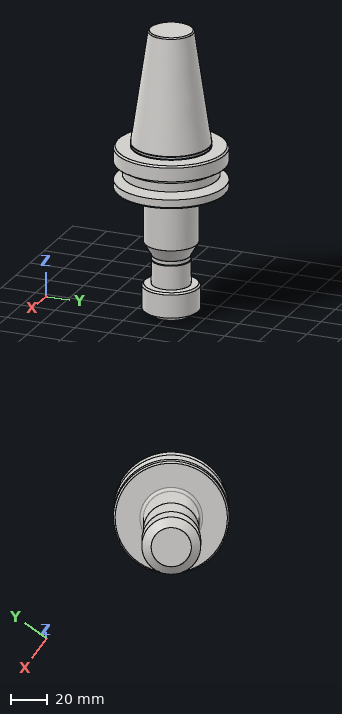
import cadquery as cq
import math

total_height = 165.4

gauge_radius = 22.2
gauge_z = 100.0
taper_per_length = 7 / 24
tip_radius = gauge_radius - (total_height - gauge_z) * taper_per_length / 2
tip_chamfer = 0.7

relief_depth = 0.2
relief_bevel = 0.5

flange_radius = 31.51
flange_top_z = 97.9
flange_bottom_z = 73.0
flange_chamfer = 1.0
groove_floor_radius = 26.6
groove_center_z = 83.7
groove_floor_width = 5.0
groove_wall_height = (flange_radius - groove_floor_radius) * math.tan(math.radians(30))

body_radius = 15.2
body_bottom_z = 42.3
body_fillet = 1.8
neck_radius = 10.9
shoulder_bottom_z = body_bottom_z - (body_radius - neck_radius) / math.tan(math.radians(30))
neck_groove_depth = 0.2
neck_groove_bevel = 0.5
neck_groove_bottom_z = 31.8

nut_radius = 16.0
nut_top_z = 17.9
nut_top_chamfer = 1.0
nut_face_radius = 10.9
nut_cone_height = 3.5


def add_recess(profile, radius, bottom_z, top_z, depth, bevel):
    """Continue the profile upward through a shallow ring with bevelled ends."""
    return (
        profile.lineTo(radius, bottom_z)
        .lineTo(radius - depth, bottom_z + bevel)
        .lineTo(radius - depth, top_z - bevel)
        .lineTo(radius, top_z)
    )


profile = (
    cq.Workplane("XZ")
    .lineTo(nut_face_radius, 0)
    .lineTo(nut_radius, nut_cone_height)
    .lineTo(nut_radius, nut_top_z - nut_top_chamfer)
    .lineTo(nut_radius - nut_top_chamfer, nut_top_z)
    .lineTo(neck_radius, nut_top_z)
)
profile = add_recess(
    profile, neck_radius, neck_groove_bottom_z, shoulder_bottom_z, neck_groove_depth, neck_groove_bevel
)

profile = (
    profile.lineTo(body_radius, body_bottom_z)
    .lineTo(body_radius, flange_bottom_z - body_fillet)
    .radiusArc((body_radius + body_fillet, flange_bottom_z), body_fillet)
)

groove_floor_bottom_z = groove_center_z - groove_floor_width / 2
groove_floor_top_z = groove_center_z + groove_floor_width / 2
profile = (
    profile.lineTo(flange_radius - flange_chamfer, flange_bottom_z)
    .lineTo(flange_radius, flange_bottom_z + flange_chamfer)
    .lineTo(flange_radius, groove_floor_bottom_z - groove_wall_height)
    .lineTo(groove_floor_radius, groove_floor_bottom_z)
    .lineTo(groove_floor_radius, groove_floor_top_z)
    .lineTo(flange_radius, groove_floor_top_z + groove_wall_height)
    .lineTo(flange_radius, flange_top_z - flange_chamfer)
    .lineTo(flange_radius - flange_chamfer, flange_top_z)
)

profile = add_recess(profile, gauge_radius, flange_top_z, gauge_z, relief_depth, relief_bevel)
profile = (
    profile.lineTo(tip_radius + tip_chamfer * taper_per_length / 2, total_height - tip_chamfer)
    .lineTo(tip_radius - tip_chamfer, total_height)
    .lineTo(0, total_height)
    .close()
)

result = profile.revolve(360, (0, 0, 0), (0, 1, 0))